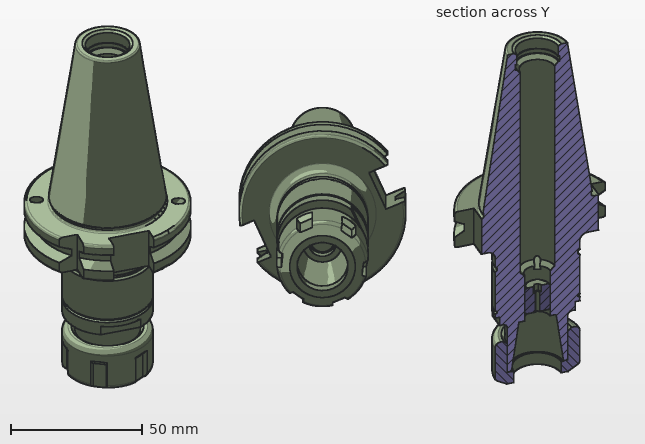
import cadquery as cq
import math


TOTAL_LENGTH = 148.4
TAPER_RATIO = 7 / 24
GAUGE_Z = 80.0
GAUGE_RADIUS = 22.3
TAPER_END_Z = 79.0
SHANK_TOP_ROUND = 0.7
RELIEF_RADIUS = 22.0
RELIEF_FILLET = 0.9

FLANGE_RADIUS = 31.8
FLANGE_TOP_Z = 76.9
FLANGE_BOTTOM_Z = 60.8
FLANGE_EDGE_ROUND = 1.0
GRIP_FLOOR_RADIUS = 27.9
GRIP_CENTER_Z = 69.2
GRIP_FLOOR_WIDTH = 2.8
GRIP_FLANK_ANGLE = 30
KEYWAY_WIDTH = 16.0
KEYWAY_FLOOR_LEFT = 22.9
KEYWAY_FLOOR_RIGHT = 25.0
CORNER_NOTCH = 18.5

BODY_RADIUS = 17.4
BODY_FILLET = 3.0
UPPER_GROOVE_TOP_Z = 54.0
UPPER_GROOVE_BOTTOM_Z = 51.5
LOWER_GROOVE_TOP_Z = 34.0
LOWER_GROOVE_BOTTOM_Z = 32.6
GROOVE_DEPTH = 0.9
GROOVE_FLANK_SHARE = 1 / 3
COLLAR_BOTTOM_Z = 27.0
WRENCH_FLAT_X = 15.5
WRENCH_FLAT_TOP_Z = 30.7
NECK_RADIUS = 12.5
NECK_TRANSITION = 1.0
NOSE_END_Z = 5.2

MOUTH_RADIUS = 9.6
MOUTH_CHAMFER_DEPTH = 0.7
PILOT_RADIUS = 8.5
PILOT_DEPTH = 7.5
PILOT_GROOVE_RADIUS = 8.9
PILOT_GROOVE_WIDTH = 2.1
SHANK_BORE_RADIUS = 7.0
PILOT_STEP_HEIGHT = 1.8
BORE_CONE_TOP_Z = 49.0
BORE_CONE_HEIGHT = 1.8
SCREW_BORE_RADIUS = 5.2
SEAT_MOUTH_RADIUS = 10.5
SEAT_TOP_Z = 26.7
SEAT_HALF_ANGLE = 8

COOLANT_RADIUS = 1.3
COOLANT_ENTRY_RADIUS = 2.1
COOLANT_ENTRY_DEPTH = 3.0
COOLANT_PITCH_RADIUS = 27.0
COOLANT_TILT = 35
COOLANT_ANGLES = (70, 250)

NUT_RADIUS = BODY_RADIUS
NUT_HEIGHT = 19.7
NUT_TOP_ROUND = 2.2
NUT_FRONT_CONE_HEIGHT = 2.8
NUT_FRONT_CONE_ANGLE = 30
NUT_FRONT_ROUND = 2.1
NUT_MOUTH_RADIUS = 13.8
NUT_OPENING_RADIUS = 9.6

SLOT_COUNT = 6
SLOT_START_ANGLE = -90
SLOT_FLOOR_DISTANCE = 15.5
SLOT_FLOOR_WIDTH = 5.0
SLOT_OUTER_WIDTH = 6.8
SLOT_TOP_Z = 14.5
SHORT_SLOT_TOP_Z = 13.2
SHORT_SLOT_INDEX = 4
SLOT_END_SLOPE = 2.2

SCREW_TOP_Z = 41.5
SCREW_LENGTH = 11.9
SCREW_CHAMFER = 0.7
SCREW_SOCKET_WIDTH = 2.7
SCREW_SOCKET_DEPTH = 3.0
SCREW_HOLE_RADIUS = 0.7

EDGE_TOLERANCE = 0.01
OVERCUT = 1.5


def revolve_profile(points):
    """Turn a closed outline of (radius, Z) points about the Z axis."""
    return cq.Workplane("XZ").polyline(points).close().revolve(360, (0, 0, 0), (0, 1, 0))


def ring_cutter(top_z, bottom_z, outer_radius, floor_radius, flank_height):
    """Ring with sloping flanks that cuts a groove into a cylinder of outer_radius."""
    slope = flank_height / (outer_radius - floor_radius)
    rim_radius = outer_radius + OVERCUT
    spread = OVERCUT * slope
    return revolve_profile([
        (floor_radius, bottom_z + flank_height),
        (floor_radius, top_z - flank_height),
        (rim_radius, top_z + spread),
        (rim_radius, bottom_z - spread),
    ])


def block(x_min, x_max, y_min, y_max, z_min, z_max):
    """Axis-aligned box between the given limits."""
    size = (x_max - x_min, y_max - y_min, z_max - z_min)
    return cq.Workplane("XY").box(*size, centered=False).translate((x_min, y_min, z_min))


def fillet_corner(turned, radius, z, fillet_radius):
    """Round the circular edge of the given radius and height."""
    def is_corner(edge):
        radius_fits = abs(edge.radius() - radius) < EDGE_TOLERANCE
        height_fits = abs(edge.Center().z - z) < EDGE_TOLERANCE
        return radius_fits and height_fits

    return turned.edges("%CIRCLE").filter(is_corner).fillet(fillet_radius)


def holder_blank():
    """Solid turned shape of the shank, flange, body and neck."""
    half_ratio = TAPER_RATIO / 2
    shank_top_radius = GAUGE_RADIUS - (TOTAL_LENGTH - GAUGE_Z) * half_ratio
    shank_end_radius = GAUGE_RADIUS + (GAUGE_Z - TAPER_END_Z) * half_ratio
    shank = revolve_profile([
        (0, FLANGE_TOP_Z),
        (RELIEF_RADIUS, FLANGE_TOP_Z),
        (RELIEF_RADIUS, TAPER_END_Z),
        (shank_end_radius, TAPER_END_Z),
        (shank_top_radius, TOTAL_LENGTH),
        (0, TOTAL_LENGTH),
    ])
    shank = shank.faces(">Z").edges().fillet(SHANK_TOP_ROUND)
    flange = (
        cq.Workplane("XY", origin=(0, 0, FLANGE_BOTTOM_Z))
        .circle(FLANGE_RADIUS).extrude(FLANGE_TOP_Z - FLANGE_BOTTOM_Z)
        .edges().fillet(FLANGE_EDGE_ROUND)
    )
    body = revolve_profile([
        (0, NOSE_END_Z),
        (NECK_RADIUS, NOSE_END_Z),
        (NECK_RADIUS, COLLAR_BOTTOM_Z - NECK_TRANSITION),
        (NECK_RADIUS + NECK_TRANSITION, COLLAR_BOTTOM_Z),
        (BODY_RADIUS, COLLAR_BOTTOM_Z),
        (BODY_RADIUS, FLANGE_BOTTOM_Z),
        (0, FLANGE_BOTTOM_Z),
    ])
    blank = shank.union(flange).union(body)
    blank = fillet_corner(blank, RELIEF_RADIUS, FLANGE_TOP_Z, RELIEF_FILLET)
    return fillet_corner(blank, BODY_RADIUS, FLANGE_BOTTOM_Z, BODY_FILLET)


def flange_cutters():
    """Gripper groove, the two keyways and the corner notch of the flange."""
    flank_height = (FLANGE_RADIUS - GRIP_FLOOR_RADIUS) * math.tan(math.radians(GRIP_FLANK_ANGLE))
    half_groove = GRIP_FLOOR_WIDTH / 2 + flank_height
    grip_groove = ring_cutter(
        GRIP_CENTER_Z + half_groove, GRIP_CENTER_Z - half_groove,
        FLANGE_RADIUS, GRIP_FLOOR_RADIUS, flank_height,
    )
    half_key = KEYWAY_WIDTH / 2
    reach = FLANGE_RADIUS + OVERCUT
    levels = (FLANGE_BOTTOM_Z, FLANGE_TOP_Z)
    left_keyway = block(-reach, -KEYWAY_FLOOR_LEFT, -half_key, half_key, *levels)
    right_keyway = block(KEYWAY_FLOOR_RIGHT, reach, -half_key, half_key, *levels)
    corner_notch = block(CORNER_NOTCH, reach, -reach, -CORNER_NOTCH, *levels)
    return [grip_groove, left_keyway, right_keyway, corner_notch]


def body_cutters():
    """The two narrow grooves and the two wrench flats of the holder body."""
    groove_levels = (
        (UPPER_GROOVE_TOP_Z, UPPER_GROOVE_BOTTOM_Z),
        (LOWER_GROOVE_TOP_Z, LOWER_GROOVE_BOTTOM_Z),
    )
    floor_radius = BODY_RADIUS - GROOVE_DEPTH
    cutters = []
    for top_z, bottom_z in groove_levels:
        flank_height = (top_z - bottom_z) * GROOVE_FLANK_SHARE
        cutters.append(ring_cutter(top_z, bottom_z, BODY_RADIUS, floor_radius, flank_height))
    reach = BODY_RADIUS + OVERCUT
    levels = (COLLAR_BOTTOM_Z, WRENCH_FLAT_TOP_Z)
    cutters.append(block(-reach, -WRENCH_FLAT_X, -reach, reach, *levels))
    cutters.append(block(WRENCH_FLAT_X, reach, -reach, reach, *levels))
    return cutters


def holder_bore():
    """Stepped bore from the shank mouth down to the tapered collet seat."""
    pilot_end_z = TOTAL_LENGTH - PILOT_DEPTH
    seat_slope = math.tan(math.radians(SEAT_HALF_ANGLE))
    seat_top_radius = SEAT_MOUTH_RADIUS - (SEAT_TOP_Z - NOSE_END_Z) * seat_slope
    return revolve_profile([
        (0, TOTAL_LENGTH),
        (MOUTH_RADIUS, TOTAL_LENGTH),
        (PILOT_RADIUS, TOTAL_LENGTH - MOUTH_CHAMFER_DEPTH),
        (PILOT_RADIUS, pilot_end_z + PILOT_GROOVE_WIDTH),
        (PILOT_GROOVE_RADIUS, pilot_end_z + PILOT_GROOVE_WIDTH),
        (PILOT_GROOVE_RADIUS, pilot_end_z),
        (PILOT_RADIUS, pilot_end_z),
        (SHANK_BORE_RADIUS, pilot_end_z - PILOT_STEP_HEIGHT),
        (SHANK_BORE_RADIUS, BORE_CONE_TOP_Z),
        (SCREW_BORE_RADIUS, BORE_CONE_TOP_Z - BORE_CONE_HEIGHT),
        (SCREW_BORE_RADIUS, SEAT_TOP_Z),
        (seat_top_radius, SEAT_TOP_Z),
        (SEAT_MOUTH_RADIUS, NOSE_END_Z),
        (0, NOSE_END_Z),
    ])


def coolant_hole(angle):
    """Slanted, stepped hole from the top of the flange inwards to the bore of the shank."""
    tilt = math.radians(COOLANT_TILT)
    axis = cq.Vector(-math.sin(tilt), 0, -math.cos(tilt))
    lead = 2 * COOLANT_ENTRY_RADIUS
    start = cq.Vector(COOLANT_PITCH_RADIUS, 0, FLANGE_TOP_Z) - axis * lead
    length = (COOLANT_PITCH_RADIUS - SCREW_BORE_RADIUS) / math.sin(tilt) + lead
    channel = cq.Solid.makeCylinder(COOLANT_RADIUS, length, start, axis)
    entry = cq.Solid.makeCylinder(COOLANT_ENTRY_RADIUS, lead + COOLANT_ENTRY_DEPTH, start, axis)
    return cq.Workplane(channel.fuse(entry)).rotate((0, 0, 0), (0, 0, 1), angle)


def make_holder():
    holder = holder_blank()
    for cutter in flange_cutters() + body_cutters():
        holder = holder.cut(cutter)
    holder = holder.cut(holder_bore())
    for angle in COOLANT_ANGLES:
        holder = holder.cut(coolant_hole(angle))
    return holder


def nut_slot(top_z):
    """Spanner slot on the +X side, narrowing towards its floor and ending in a slope."""
    depth = NUT_RADIUS - SLOT_FLOOR_DISTANCE
    side_slope = (SLOT_OUTER_WIDTH - SLOT_FLOOR_WIDTH) / 2 / depth
    end_slope = SLOT_END_SLOPE / depth
    rim_distance = NUT_RADIUS + OVERCUT
    rim_half_width = SLOT_OUTER_WIDTH / 2 + OVERCUT * side_slope
    floor_half_width = SLOT_FLOOR_WIDTH / 2
    section = (
        cq.Workplane("XY")
        .polyline([
            (SLOT_FLOOR_DISTANCE, -floor_half_width),
            (rim_distance, -rim_half_width),
            (rim_distance, rim_half_width),
            (SLOT_FLOOR_DISTANCE, floor_half_width),
        ])
        .close().extrude(NUT_HEIGHT)
    )
    side_view = (
        cq.Workplane("XZ")
        .polyline([
            (SLOT_FLOOR_DISTANCE, 0),
            (SLOT_FLOOR_DISTANCE, top_z - SLOT_END_SLOPE),
            (rim_distance, top_z + OVERCUT * end_slope),
            (rim_distance, 0),
        ])
        .close().extrude(SLOT_OUTER_WIDTH, both=True)
    )
    return section.intersect(side_view)


def make_nut():
    cone_slope = math.tan(math.radians(NUT_FRONT_CONE_ANGLE))
    front_radius = NUT_RADIUS - NUT_FRONT_CONE_HEIGHT / cone_slope
    nut = revolve_profile([
        (0, 0),
        (front_radius, 0),
        (NUT_RADIUS, NUT_FRONT_CONE_HEIGHT),
        (NUT_RADIUS, NUT_HEIGHT),
        (0, NUT_HEIGHT),
    ])
    nut = nut.faces(">Z").edges().fillet(NUT_TOP_ROUND)
    nut = fillet_corner(nut, NUT_RADIUS, NUT_FRONT_CONE_HEIGHT, NUT_FRONT_ROUND)
    mouth_chamfer = NUT_MOUTH_RADIUS - NECK_RADIUS
    nut = nut.cut(revolve_profile([
        (0, 0),
        (NUT_OPENING_RADIUS, 0),
        (NUT_OPENING_RADIUS, NOSE_END_Z),
        (NECK_RADIUS, NOSE_END_Z),
        (NECK_RADIUS, NUT_HEIGHT - mouth_chamfer),
        (NUT_MOUTH_RADIUS, NUT_HEIGHT),
        (0, NUT_HEIGHT),
    ]))
    for index in range(SLOT_COUNT):
        top_z = SHORT_SLOT_TOP_Z if index == SHORT_SLOT_INDEX else SLOT_TOP_Z
        angle = SLOT_START_ANGLE + index * 360 / SLOT_COUNT
        nut = nut.cut(nut_slot(top_z).rotate((0, 0, 0), (0, 0, 1), angle))
    return nut


def make_stop_screw():
    """Headless screw with a hexagon socket and a fine bore along its axis."""
    socket_diameter = SCREW_SOCKET_WIDTH / math.cos(math.radians(30))
    return (
        cq.Workplane("XY", origin=(0, 0, SCREW_TOP_Z - SCREW_LENGTH))
        .circle(SCREW_BORE_RADIUS).extrude(SCREW_LENGTH)
        .edges().chamfer(SCREW_CHAMFER)
        .faces(">Z").workplane().polygon(6, socket_diameter).cutBlind(-SCREW_SOCKET_DEPTH)
        .cut(cq.Workplane("XY").circle(SCREW_HOLE_RADIUS).extrude(TOTAL_LENGTH))
    )


holder = make_holder()
nut = make_nut()
stop_screw = make_stop_screw()

result = cq.Compound.makeCompound([holder.val(), nut.val(), stop_screw.val()])